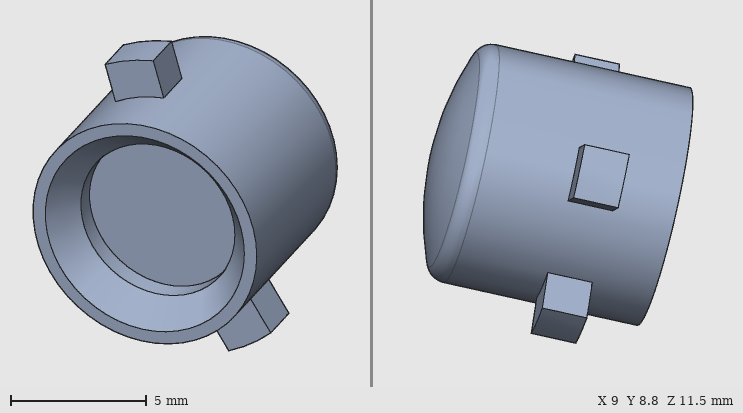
import cadquery as cq
import math

body_diameter = 9.0
body_radius = body_diameter / 2
total_length = 8.8
straight_length = 7.37
shoulder_end = 8.01
shoulder_end_radius = 4.06

mouth_radius = 4.0
floor_radius = 3.09
cone_depth = 1.21
pocket_depth = 2.02

lug_tip_radius = 5.99
lug_start = 2.31
lug_length = 1.7
lug_width = 2.02
upper_lug_tilt = 16
lower_lug_tilt = 33
lug_angles = [90 + upper_lug_tilt, 270 - lower_lug_tilt, 270 + lower_lug_tilt]


def make_body():
    """Revolved cap with a rounded shoulder and a spherical dome."""
    dome_height = total_length - shoulder_end
    dome_radius = (shoulder_end_radius**2 + dome_height**2) / (2 * dome_height)
    dome_mid_radius = shoulder_end_radius / 2
    dome_center = total_length - dome_radius
    dome_mid = dome_center + math.sqrt(dome_radius**2 - dome_mid_radius**2)
    return (
        cq.Workplane("XY")
        .lineTo(body_radius, 0)
        .lineTo(body_radius, straight_length)
        .tangentArcPoint((shoulder_end_radius, shoulder_end), relative=False)
        .threePointArc((dome_mid_radius, dome_mid), (0, total_length))
        .close()
        .revolve(360, (0, 0, 0), (0, 1, 0))
    )


def make_pocket():
    """Tapered mouth leading to a short straight bore with a flat floor."""
    return (
        cq.Workplane("XY")
        .polyline([
            (0, 0),
            (mouth_radius, 0),
            (floor_radius, cone_depth),
            (floor_radius, pocket_depth),
            (0, pocket_depth),
        ])
        .close()
        .revolve(360, (0, 0, 0), (0, 1, 0))
    )


def make_lug(angle):
    """Parallel-sided block from inside the wall to a rounded tip."""
    bar = (
        cq.Workplane("XY")
        .box(lug_tip_radius, lug_length, lug_width, centered=(False, False, True))
        .translate((0, lug_start, 0))
    )
    tip_cylinder = cq.Workplane("XZ").circle(lug_tip_radius).extrude(-total_length)
    return bar.intersect(tip_cylinder).rotate((0, 0, 0), (0, 1, 0), -angle)


result = make_body()
for lug_angle in lug_angles:
    result = result.union(make_lug(lug_angle))
result = result.cut(make_pocket())